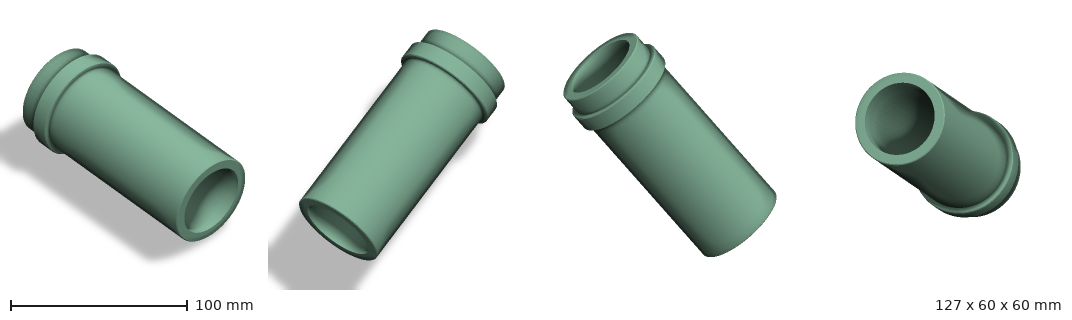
import cadquery as cq

length = 127.0
bore_diameter = 42.0
body_diameter = 54.0
collar_diameter = 60.0
collar_start = 12.0
collar_end = 22.0
edge_chamfer = 0.5

relief_depth = 0.3
front_relief_width = 0.8
rear_relief_width = 1.0


def cylinder(diameter, start, end):
    """Solid cylinder on the X axis between two X positions."""
    return cq.Workplane("YZ").workplane(offset=start).circle(diameter / 2).extrude(end - start)


def chamfered_cylinder(diameter, start, end):
    """Cylinder with both outer rims chamfered."""
    return cylinder(diameter, start, end).edges().chamfer(edge_chamfer)


body = chamfered_cylinder(body_diameter, 0, length)
relief_start = collar_start - front_relief_width
relief_end = collar_end + rear_relief_width
relief_floor = cylinder(body_diameter - 2 * relief_depth, relief_start, relief_end)
body = body.cut(cylinder(collar_diameter, relief_start, relief_end)).union(relief_floor)

collar = chamfered_cylinder(collar_diameter, collar_start, collar_end)

bore = cylinder(bore_diameter, 0, length)

result = body.union(collar).cut(bore)